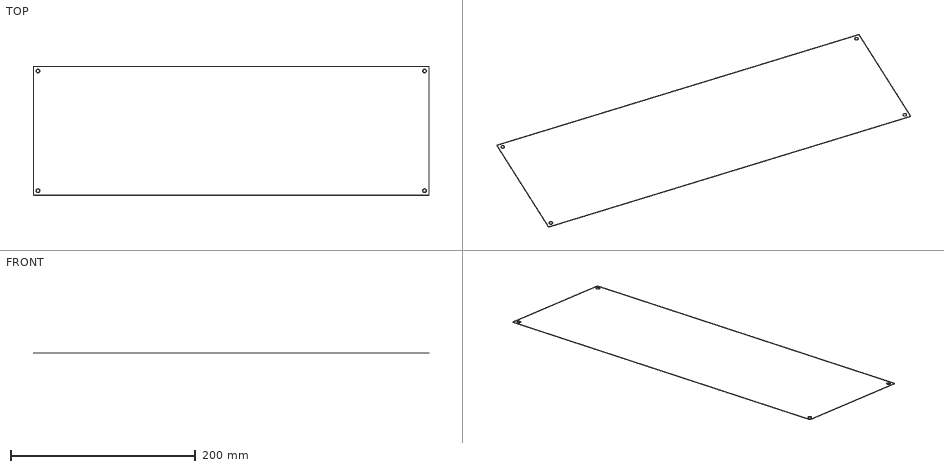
import cadquery as cq

length = 430.0
width = 140.0
thickness = 0.05
corner_radius = 1.0

hole_diameter = 3.73
hole_inset = 5.0
hole_spacing_x = length - 2 * hole_inset
hole_spacing_y = width - 2 * hole_inset

sheet = (
    cq.Workplane("XY")
    .box(length, width, thickness)
    .edges("|Z")
    .fillet(corner_radius)
)

result = (
    sheet.faces(">Z")
    .workplane()
    .rect(hole_spacing_x, hole_spacing_y, forConstruction=True)
    .vertices()
    .hole(hole_diameter)
)